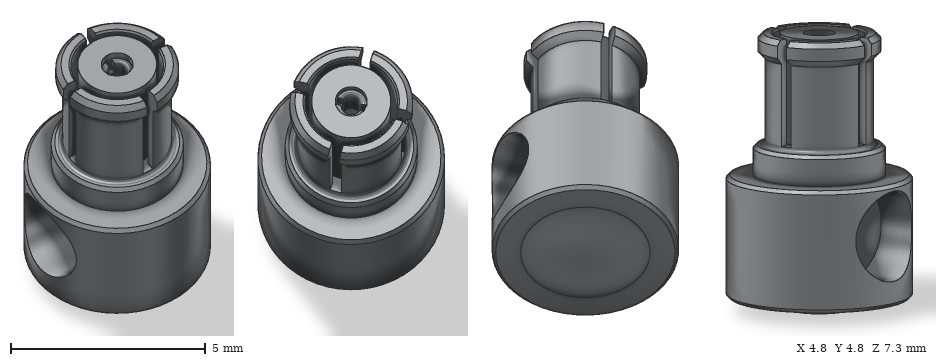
import cadquery as cq

total_height = 7.3

body_radius = 2.4
body_bottom = 0.395
body_top = 3.59
edge_chamfer = 0.095
dome_radius = 1.665

collar_radius = 1.7
collar_top = 4.39

neck_radius = 1.4
neck_fillet = 0.12
neck_bottom = collar_top + neck_fillet

head_radius = 1.585
head_chamfer = 0.14
head_undercut_bottom = 6.66
head_undercut_top = head_undercut_bottom + (head_radius - neck_radius)

bore_radius = 1.19
bore_chamfer = 0.05
slot_width = 0.31

core_radius = 1.015
core_top = total_height

pin_radius = 0.41
pin_recess = 0.21
pin_top = core_top - pin_recess
pin_rim = 0.065
pin_lip_radius = 0.09
pin_bore_radius = pin_radius - pin_rim - pin_lip_radius
pin_bore_depth = 0.875
pin_cone_depth = 0.145
pin_slot_width = 0.18
pin_slot_depth = 0.365

port_radius = 1.18
port_height = 2.24
port_floor_y = -1.1


def revolve_about_z(profile):
    """Revolve a closed XZ profile (local x = radius, local y = height) about Z."""
    return profile.close().revolve(360, (0, 0, 0), (0, 1, 0))


def make_disc(radius, bottom, top):
    return cq.Workplane("XY").workplane(offset=bottom).circle(radius).extrude(top - bottom)


def make_shell():
    """Stepped body, collar, neck and flared head with the open bore inside."""
    body = make_disc(body_radius, body_bottom, body_top).edges().chamfer(edge_chamfer)
    collar = make_disc(collar_radius, body_top, collar_top).faces(">Z").edges().chamfer(edge_chamfer)
    fillet_centre_radius = neck_radius + neck_fillet
    fillet_mid_offset = neck_fillet * 0.5 ** 0.5
    neck = revolve_about_z(
        cq.Workplane("XZ")
        .moveTo(0, collar_top)
        .lineTo(fillet_centre_radius, collar_top)
        .threePointArc(
            (fillet_centre_radius - fillet_mid_offset, neck_bottom - fillet_mid_offset),
            (neck_radius, neck_bottom),
        )
        .lineTo(neck_radius, head_undercut_bottom)
        .lineTo(head_radius, head_undercut_top)
        .lineTo(head_radius, total_height - head_chamfer)
        .lineTo(head_radius - head_chamfer, total_height)
        .lineTo(0, total_height)
    )
    bore = make_disc(bore_radius, neck_bottom, total_height)
    bore_lead_in = revolve_about_z(
        cq.Workplane("XZ")
        .moveTo(0, total_height - bore_chamfer)
        .lineTo(bore_radius, total_height - bore_chamfer)
        .lineTo(bore_radius + bore_chamfer, total_height)
        .lineTo(0, total_height)
    )
    return body.union(collar).union(neck).cut(bore).cut(bore_lead_in)


def make_dome():
    """Spherical cap under the body."""
    sphere_radius = (dome_radius ** 2 + body_bottom ** 2) / (2 * body_bottom)
    cap_limit = make_disc(dome_radius, 0, body_bottom)
    return cq.Workplane("XY").sphere(sphere_radius).translate((0, 0, sphere_radius)).intersect(cap_limit)


def make_head_slots():
    """Two crossed slots that split the neck and head into four fingers."""
    slot_height = total_height - neck_bottom
    slot = (
        cq.Workplane("XY")
        .workplane(offset=neck_bottom)
        .rect(2 * body_radius, slot_width)
        .extrude(slot_height)
    )
    return slot.union(slot.rotate((0, 0, 0), (0, 0, 1), 90))


def make_core():
    """Central insulator with the recessed, slotted contact pin."""
    core = make_disc(core_radius, neck_bottom, core_top)
    recess = make_disc(pin_radius, pin_top, core_top)
    lip_edge_radius = pin_radius - pin_rim
    lip_mid_offset = pin_lip_radius * 0.5 ** 0.5
    bore_bottom = pin_top - pin_bore_depth
    pin_bore = revolve_about_z(
        cq.Workplane("XZ")
        .moveTo(0, pin_top)
        .lineTo(lip_edge_radius, pin_top)
        .threePointArc(
            (lip_edge_radius - lip_mid_offset, pin_top - pin_lip_radius + lip_mid_offset),
            (pin_bore_radius, pin_top - pin_lip_radius),
        )
        .lineTo(pin_bore_radius, bore_bottom)
        .lineTo(0, bore_bottom - pin_cone_depth)
    )
    pin_slot = (
        make_disc(pin_radius, pin_top - pin_slot_depth, pin_top)
        .intersect(cq.Workplane("XY").box(2 * pin_radius, pin_slot_width, 2 * total_height))
    )
    return core.cut(recess).cut(pin_bore).cut(pin_slot)


def make_side_port():
    """Blind round port entering the body from -Y."""
    return (
        cq.Workplane("XZ", origin=(0, port_floor_y, port_height))
        .circle(port_radius)
        .extrude(body_radius)
    )


shell = make_shell().cut(make_head_slots()).union(make_dome())
result = shell.union(make_core()).cut(make_side_port())